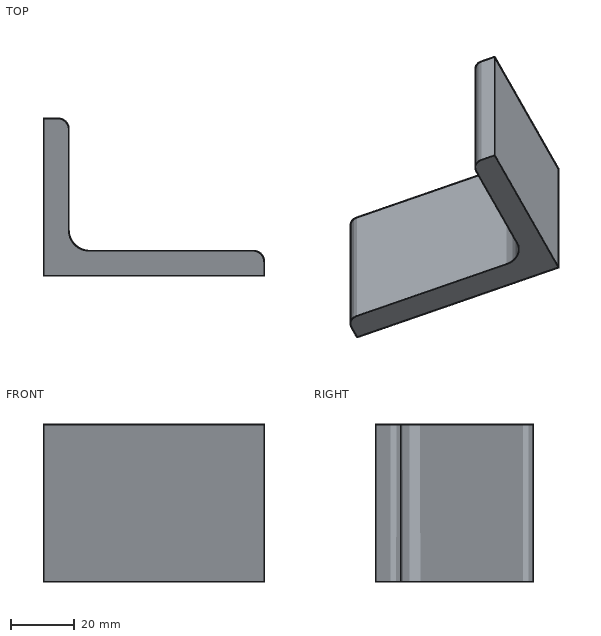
import cadquery as cq

long_leg = 70.0
short_leg = 50.0
length = 50.0
thickness = 8.0
root_radius = 6.5
toe_radius = 3.5


def angle_profile():
    """L-shaped outline with its outer corner at the origin."""
    return (
        cq.Workplane("XY")
        .moveTo(0, 0)
        .lineTo(long_leg, 0)
        .lineTo(long_leg, thickness - toe_radius)
        .radiusArc((long_leg - toe_radius, thickness), -toe_radius)
        .lineTo(thickness + root_radius, thickness)
        .radiusArc((thickness, thickness + root_radius), root_radius)
        .lineTo(thickness, short_leg - toe_radius)
        .radiusArc((thickness - toe_radius, short_leg), -toe_radius)
        .lineTo(0, short_leg)
        .close()
    )


result = angle_profile().extrude(length)